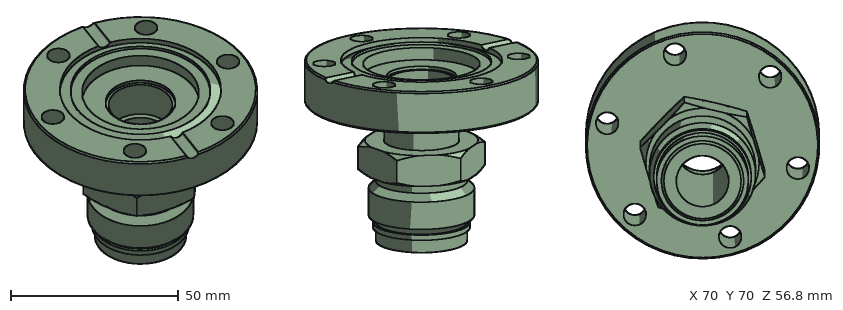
import cadquery as cq
import math

total_height = 56.8
flange_diameter = 70.0
flange_thickness = 13.0
flange_chamfer = 0.5

seal_recess_diameter = 48.3
seal_recess_depth = 1.6
knife_edge_diameter = 41.9
inner_land_diameter = 41.65
knife_edge_depth = 0.4
inner_land_depth = 1.2
pocket_diameter = 35.0
pocket_depth = 5.0
lip_bore_diameter = 20.85
lip_thickness = 1.0

bolt_count = 6
bolt_circle_diameter = 58.7
bolt_hole_diameter = 6.7
groove_width = 4.0
groove_depth = 1.2

tube_diameter = 22.4
tube_bore_diameter = 19.05
end_bore_diameter = 15.7
bore_step_depth = 17.2
collar_diameter = 29.2
collar_height = 1.6
head_diameter = 27.5
head_height = 4.1
bead_base_diameter = 24.65
bead_tip_diameter = 23.1
bead_height = 0.6

nut_top_depth = 25.0
nut_bore_diameter = 22.6
hex_across_flats = 33.3
hex_height = 9.6
hex_chamfer_diameter = 33.9
hex_chamfer_angle = 30.0
neck_diameter = 27.45
neck_height = 3.0
barrel_diameter = 31.8
barrel_taper = (barrel_diameter - neck_diameter) / 2

flange_bottom = total_height - flange_thickness
tube_top = total_height - pocket_depth - lip_thickness
nut_top = total_height - nut_top_depth
hex_bottom = nut_top - hex_height
head_bottom = bead_height
collar_bottom = head_bottom + head_height
collar_top = collar_bottom + collar_height


def revolved(points):
    """Revolve a closed (diameter, height) outline around the Z axis."""
    outline = [(diameter / 2, height) for diameter, height in points]
    return cq.Workplane("XZ").polyline(outline).close().revolve(360, (0, 0, 0), (0, 1, 0))


def make_flange():
    top = total_height
    pocket_floor = top - pocket_depth
    rim_diameter = flange_diameter - 2 * flange_chamfer
    flange = revolved([
        (tube_diameter, flange_bottom),
        (rim_diameter, flange_bottom),
        (flange_diameter, flange_bottom + flange_chamfer),
        (flange_diameter, top - flange_chamfer),
        (rim_diameter, top),
        (seal_recess_diameter, top),
        (seal_recess_diameter, top - seal_recess_depth),
        (knife_edge_diameter, top - knife_edge_depth),
        (inner_land_diameter, top - inner_land_depth),
        (pocket_diameter, top - inner_land_depth),
        (pocket_diameter, pocket_floor),
        (lip_bore_diameter, pocket_floor),
        (lip_bore_diameter, tube_top),
        (tube_diameter, tube_top),
    ])

    bolt_holes = (
        cq.Workplane("XY", origin=(0, 0, flange_bottom))
        .polarArray(bolt_circle_diameter / 2, 90, 360, bolt_count)
        .circle(bolt_hole_diameter / 2)
        .extrude(flange_thickness)
    )

    groove_radius = ((groove_width / 2) ** 2 + groove_depth ** 2) / (2 * groove_depth)
    groove_axis_height = top - groove_depth + groove_radius
    grooves = (
        cq.Workplane("YZ", origin=(0, 0, groove_axis_height))
        .circle(groove_radius)
        .extrude(flange_diameter / 2, both=True)
    )
    recess_zone = cq.Workplane("XY", origin=(0, 0, flange_bottom)).circle(seal_recess_diameter / 2)
    grooves = grooves.cut(recess_zone.extrude(2 * flange_thickness))

    return flange.cut(bolt_holes).cut(grooves)


def make_gland():
    bore_step = total_height - bore_step_depth
    return revolved([
        (end_bore_diameter, 0),
        (bead_tip_diameter, 0),
        (bead_base_diameter, head_bottom),
        (head_diameter, head_bottom),
        (head_diameter, collar_bottom),
        (collar_diameter, collar_bottom),
        (collar_diameter, collar_top),
        (tube_diameter, collar_top),
        (tube_diameter, tube_top),
        (tube_bore_diameter, tube_top),
        (tube_bore_diameter, bore_step),
        (end_bore_diameter, bore_step),
    ])


def make_nut():
    across_corners = hex_across_flats / math.cos(math.radians(30))
    corner_drop = (across_corners - hex_chamfer_diameter) / 2 * math.tan(math.radians(hex_chamfer_angle))
    hexagon = (
        cq.Workplane("XY", origin=(0, 0, hex_bottom))
        .polygon(6, across_corners)
        .extrude(hex_height)
        .rotate((0, 0, 0), (0, 0, 1), 30)
    )
    corner_trim = revolved([
        (0, hex_bottom),
        (hex_chamfer_diameter, hex_bottom),
        (across_corners, hex_bottom + corner_drop),
        (across_corners, nut_top - corner_drop),
        (hex_chamfer_diameter, nut_top),
        (0, nut_top),
    ])

    neck_bottom = hex_bottom - neck_height
    barrel = revolved([
        (0, collar_top),
        (neck_diameter, collar_top),
        (barrel_diameter, collar_top + barrel_taper),
        (barrel_diameter, neck_bottom - barrel_taper),
        (neck_diameter, neck_bottom),
        (neck_diameter, hex_bottom),
        (0, hex_bottom),
    ])

    bore = (
        cq.Workplane("XY", origin=(0, 0, collar_top))
        .circle(nut_bore_diameter / 2)
        .extrude(nut_top - collar_top)
    )
    return hexagon.intersect(corner_trim).union(barrel).cut(bore)


flange = make_flange()
gland = make_gland()
nut = make_nut()

result = cq.Compound.makeCompound([body.solids().val() for body in (flange, gland, nut)])